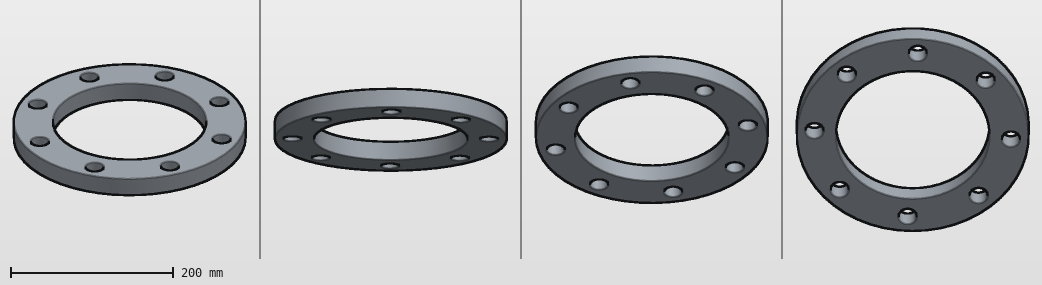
import cadquery as cq

outer_diameter = 285.0
bore_diameter = 188.0
thickness = 24.0
edge_radius = 1.0

hole_count = 8
hole_diameter = 22.0
bolt_circle_diameter = 241.5

ring = (
    cq.Workplane("XY")
    .circle(outer_diameter / 2)
    .circle(bore_diameter / 2)
    .extrude(thickness)
)

bolt_holes = (
    cq.Workplane("XY")
    .polarArray(bolt_circle_diameter / 2, 0, 360, hole_count)
    .circle(hole_diameter / 2)
    .extrude(thickness)
)
drilled_ring = ring.cut(bolt_holes)

result = drilled_ring.faces("|Z").edges().fillet(edge_radius)